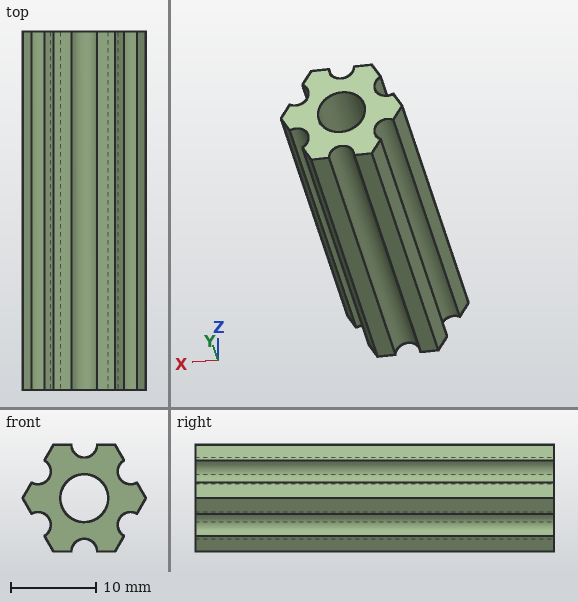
import cadquery as cq
import math

length = 42.0
across_flats = 12.5
bore_diameter = 5.6
groove_diameter = 3.0
side_count = 6

across_corners = across_flats / math.cos(math.pi / side_count)
flat_distance = across_flats / 2
side_angle = 360 / side_count


def along_y(profile):
    """Extrude an XZ profile along Y, centred on the origin."""
    return profile.extrude(length / 2, both=True)


bar = along_y(cq.Workplane("XZ").polygon(side_count, across_corners))

bore = along_y(cq.Workplane("XZ").circle(bore_diameter / 2))

grooves = along_y(
    cq.Workplane("XZ")
    .polarArray(flat_distance, side_angle / 2, 360, side_count)
    .circle(groove_diameter / 2)
)

result = bar.cut(bore).cut(grooves)